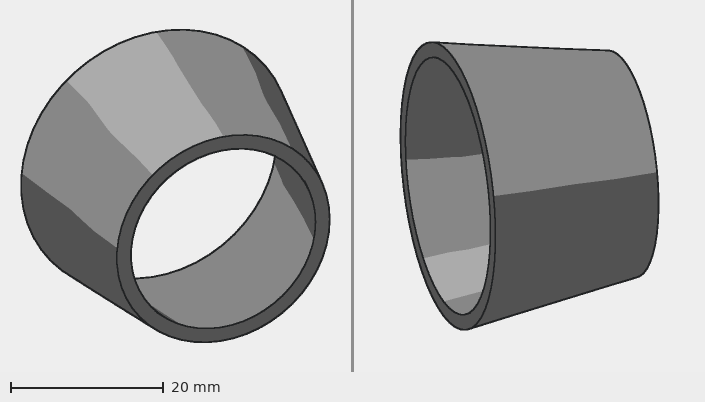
import cadquery as cq

length = 24.0
large_outer_diameter = 38.0
small_outer_diameter = 30.02
wall = 2.0

large_outer_radius = large_outer_diameter / 2
small_outer_radius = small_outer_diameter / 2

wall_section = (
    cq.Workplane("XY")
    .moveTo(0, large_outer_radius)
    .lineTo(length, small_outer_radius)
    .lineTo(length, small_outer_radius - wall)
    .lineTo(0, large_outer_radius - wall)
    .close()
)

result = wall_section.revolve(360, (0, 0, 0), (1, 0, 0))